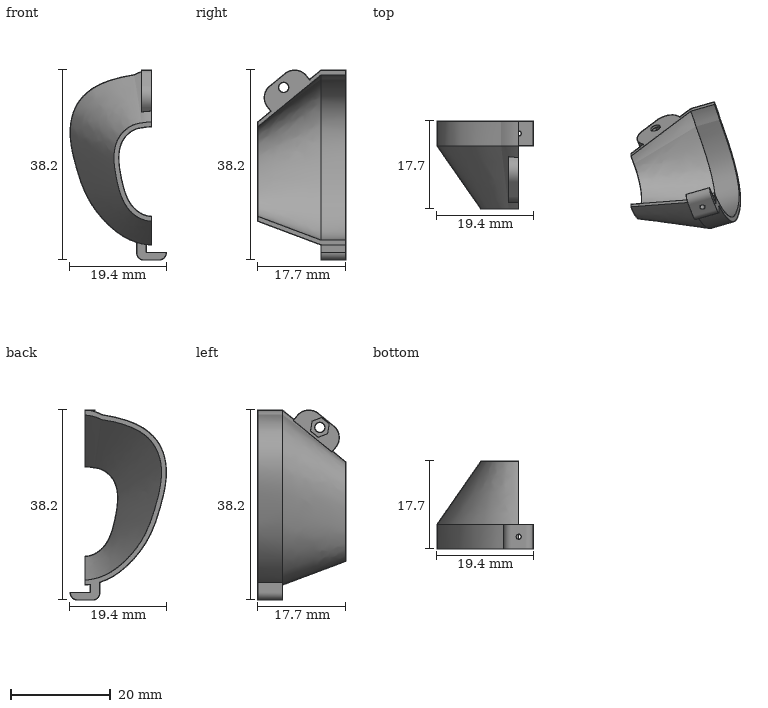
import cadquery as cq

depth = 17.7
rim_depth = 5.0
wall = 1.0

rim_flare = [(0, 38.18), (-1.9, 37.9), (-3.47, 37.25)]
rim_curve = [
    rim_flare[-1], (-7.83, 36.3), (-11.85, 34.5), (-14.9, 31.45), (-16.38, 26.0),
    (-15.27, 19.1), (-13.02, 12.85), (-9.62, 8.05), (-5.35, 4.6), (0, 3.05),
]
mouth_flare = [(0, 27.75), (-1.03, 27.7), (-1.95, 27.55)]
mouth_curve = [
    mouth_flare[-1], (-4.65, 26.65), (-6.6, 24.6), (-7.55, 20.6), (-7.15, 16.8),
    (-6.1, 12.85), (-4.55, 10.1), (-2.9, 8.7), (-1.3, 8.0), (0, 7.83),
]

tab_thickness = 2.05
tab_length = 10.05
tab_height = 4.05
tab_start = 2.98
tab_corner_radius = 3.0
tab_root = 0.57
screw_diameter = 2.0
screw_height = 2.05
nut_corner_diameter = 4.0
nut_depth = 1.53

hook_left = -3.0
hook_right = 2.98
hook_leg_width = 2.0
hook_foot_thickness = 1.55
hook_radius = 1.5
hook_top = 3.8
hook_hole_diameter = 1.0


def inset(edge, distance, samples):
    """Return points beside an edge, moved towards the inside of the cover."""
    moved = []
    for index in range(samples):
        place = index / (samples - 1)
        point = edge.positionAt(place)
        tangent = edge.tangentAt(place)
        moved.append((point.x - tangent.y * distance, point.y + tangent.x * distance))
    return moved


def inner_outline(flare, curve):
    """Return the flare and curve points of an outline one wall thickness inside."""
    edge = cq.Edge.makeSpline([cq.Vector(x, z) for x, z in curve])
    inner_curve = inset(edge, wall, len(curve))
    inner_curve[-1] = (0, curve[-1][1] + wall)
    crease_x, crease_z = inner_curve[0]
    top_z = flare[0][1] - wall
    middle = (crease_x / 2, (crease_z + top_z) / 2 + flare_bulge(flare))
    return [(0, top_z), middle, inner_curve[0]], inner_curve


def flare_bulge(flare):
    """Return how far the middle of a flare rises above its chord."""
    return flare[1][1] - (flare[0][1] + flare[2][1]) / 2


def outline(flare, curve, y):
    """Return a closed half outline at the given Y."""
    return (
        cq.Workplane("XZ", origin=(0, y, 0))
        .moveTo(*flare[0])
        .threePointArc(*flare[1:])
        .spline(curve[1:], includeCurrent=True)
        .close()
        .val()
    )


def half_body(rim, mouth):
    """Return a solid with a straight rim that tapers to the mouth."""
    back = outline(*rim, 0)
    step = outline(*rim, -rim_depth)
    front = outline(*mouth, -depth)
    straight = cq.Solid.makeLoft([back, step], True)
    taper = cq.Solid.makeLoft([step, front], True)
    return cq.Workplane(straight).union(cq.Workplane(taper))


def make_cover():
    outer = half_body((rim_flare, rim_curve), (mouth_flare, mouth_curve))
    inner = half_body(inner_outline(rim_flare, rim_curve), inner_outline(mouth_flare, mouth_curve))
    return outer.cut(inner)


def make_tab():
    slope = cq.Vector(0, rim_depth - depth, mouth_flare[0][1] - rim_flare[0][1])
    plane = cq.Plane(origin=(0, -rim_depth, rim_flare[0][1]), xDir=slope, normal=(-1, 0, 0))
    middle = tab_start + tab_length / 2
    end = tab_start + tab_length
    shoulder = tab_height - tab_corner_radius
    tab = (
        cq.Workplane(plane)
        .moveTo(tab_start, -tab_root)
        .lineTo(tab_start, shoulder)
        .tangentArcPoint((tab_start + tab_corner_radius, tab_height), relative=False)
        .lineTo(end - tab_corner_radius, tab_height)
        .tangentArcPoint((end, shoulder), relative=False)
        .lineTo(end, -tab_root)
        .close()
        .extrude(tab_thickness)
    )
    screw_hole = (
        cq.Workplane(plane)
        .center(middle, screw_height)
        .circle(screw_diameter / 2)
        .extrude(tab_thickness)
    )
    nut_pocket = (
        cq.Workplane(plane)
        .workplane(offset=tab_thickness - nut_depth)
        .center(middle, screw_height)
        .polygon(6, nut_corner_diameter)
        .extrude(nut_depth)
    )
    return tab.cut(screw_hole).cut(nut_pocket)


def make_hook():
    leg_right = hook_left + hook_leg_width
    hook = (
        cq.Workplane("XZ")
        .moveTo(hook_left, hook_top)
        .lineTo(hook_left, hook_radius)
        .tangentArcPoint((hook_left + hook_radius, 0), relative=False)
        .lineTo(hook_right - hook_foot_thickness, 0)
        .tangentArcPoint((hook_right, hook_foot_thickness), relative=False)
        .lineTo(leg_right, hook_foot_thickness)
        .lineTo(leg_right, hook_top)
        .close()
        .extrude(rim_depth)
    )
    hole = (
        cq.Workplane("XY", origin=(0, -rim_depth / 2, 0))
        .circle(hook_hole_diameter / 2)
        .extrude(hook_foot_thickness)
    )
    return hook.cut(hole)


result = make_cover().union(make_tab()).union(make_hook())